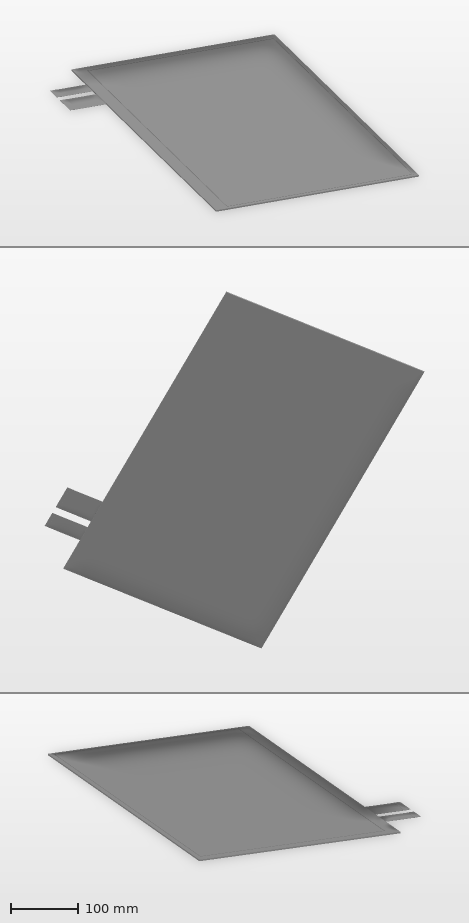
import cadquery as cq

panel_length = 554.0
panel_width = 328.0
panel_thickness = 2.3

groove_margin_left = 13.5
groove_margin_right = 5.5
groove_margin_front = 19.5
groove_margin_back = 6.5
groove_width = 1.5
groove_depth = 0.5

tail_spans = ((56.5, 82.5), (94.0, 133.5))
strip_reach = 53.0
strip_thickness = 0.3
strip_top = panel_thickness / 2
strip_bottom = strip_top - strip_thickness

pad_length = 10.5
pad_overhang = 5.5
pad_thickness = 0.3


def block(x_start, x_end, y_start, y_end, z_start, z_end):
    """Axis-aligned box between the given limits."""
    size = (x_end - x_start, y_end - y_start, z_end - z_start)
    return cq.Workplane("XY").box(*size, centered=False).translate((x_start, y_start, z_start))


def groove_ring():
    """Rectangular ring that cuts the groove into the top face."""
    floor = panel_thickness - groove_depth
    x_start = groove_margin_left
    x_end = panel_length - groove_margin_right
    y_start = groove_margin_front
    y_end = panel_width - groove_margin_back
    outer = block(x_start, x_end, y_start, y_end, floor, panel_thickness)
    inner = block(
        x_start + groove_width,
        x_end - groove_width,
        y_start + groove_width,
        y_end - groove_width,
        floor,
        panel_thickness,
    )
    return outer.cut(inner)


def tail(x_start, x_end):
    """Thin strip carrying an overhanging contact pad at its free end."""
    tail_end = -strip_reach - pad_overhang
    strip = block(x_start, x_end, -strip_reach, 0, strip_bottom, strip_top)
    pad = block(x_start, x_end, tail_end, tail_end + pad_length, strip_top, strip_top + pad_thickness)
    return strip.union(pad)


panel = block(0, panel_length, 0, panel_width, 0, panel_thickness)
result = panel.cut(groove_ring())
for left, right in tail_spans:
    result = result.union(tail(left, right))